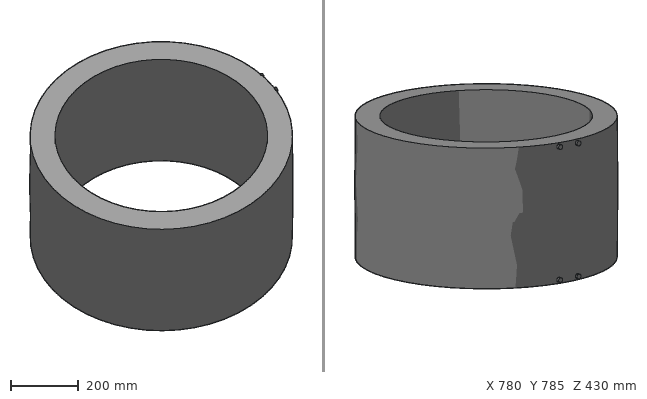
import cadquery as cq

height = 430.0
band_radius = 390.0
end_radius = 388.5
bore_radius = 315.0
band_height = 27.0

stud_diameter = 15.0
stud_spacing = 70.0
stud_inset = 12.0
stud_tip_y = 785 - band_radius
stud_root_y = end_radius - 16

half_height = height / 2
half_band = band_height / 2


def make_ring():
    """Ring whose outside tapers slightly from the middle band to both ends."""
    wall_section = [
        (bore_radius, -half_height),
        (end_radius, -half_height),
        (band_radius, -half_band),
        (band_radius, half_band),
        (end_radius, half_height),
        (bore_radius, half_height),
    ]
    return cq.Workplane("XZ").polyline(wall_section).close().revolve(360, (0, 0), (0, 1))


def make_studs():
    """Round studs pointing along +Y, one pair near each end face."""
    return (
        cq.Workplane("XZ", origin=(0, stud_root_y, 0))
        .rarray(stud_spacing, height - 2 * stud_inset, 2, 2)
        .circle(stud_diameter / 2)
        .extrude(stud_root_y - stud_tip_y)
    )


result = make_ring().union(make_studs())